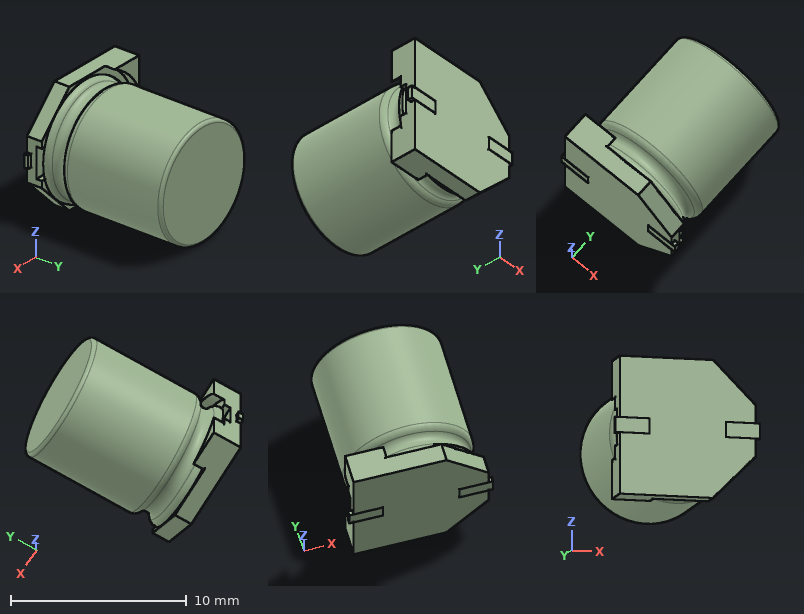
import cadquery as cq
import math


base_size = 8.0
base_height = 1.8
base_chamfer = 2.5
seat_height = 1.1
post_gap = 3.5

slot_width = 2.08
slot_depth = 0.4

can_radius = 3.875
can_top = 9.7
can_top_fillet = 0.22

groove_height = 2.0
groove_radius = 0.5
groove_blend = 0.5

lead_length = 2.0
lead_overhang = 0.25
lead_width = 0.88
lead_thickness = 0.3

half_base = base_size / 2

bore_radius = math.hypot(half_base, post_gap / 2)


def make_can():
    """Can standing on the seat, with the groove's section centred on the can wall."""
    can = (
        cq.Workplane("XZ", origin=(0, seat_height, 0))
        .circle(can_radius)
        .extrude(seat_height - can_top)
    )
    can = can.faces(">Y").edges().fillet(can_top_fillet)

    groove = (
        cq.Workplane("XY")
        .center(can_radius, groove_height)
        .circle(groove_radius)
        .revolve(360, (-can_radius, 0, 0), (-can_radius, 1, 0))
    )
    can = can.cut(groove)

    zone_height = (groove_radius + groove_height - seat_height) / 2
    rim_zone = cq.selectors.BoxSelector(
        (-can_radius, groove_height - zone_height, -can_radius),
        (can_radius, groove_height + zone_height, can_radius),
    )
    groove_rims = can.edges(rim_zone).edges("%CIRCLE")
    return groove_rims.fillet(groove_blend)


def make_base():
    """Chamfered block bored down to the seat, which leaves two posts at its square corners."""
    base = cq.Workplane("XY").box(base_size, base_height, base_size)
    base = base.translate((0, base_height / 2, 0))
    base = base.edges("|Y and >X").chamfer(base_chamfer)

    bore = (
        cq.Workplane("XZ", origin=(0, seat_height, 0))
        .circle(bore_radius)
        .extrude(seat_height - base_height)
    )
    slot = cq.Workplane("XY").box(base_size, slot_depth, slot_width)
    slot = slot.translate((0, seat_height - slot_depth / 2, 0))
    return base.cut(bore).cut(slot)


def make_lead(side):
    """Flat lead at the -X (side = -1) or +X (side = 1) edge of the base."""
    outer_end = half_base + lead_overhang
    centre_x = side * (outer_end - lead_length / 2)
    lead = cq.Workplane("XY").box(lead_length, lead_thickness, lead_width)
    return lead.translate((centre_x, lead_thickness / 2, 0))


leads = [make_lead(side) for side in (-1, 1)]

housing = make_can().union(make_base())
for lead in leads:
    housing = housing.cut(lead)

result = cq.Compound.makeCompound([housing.val(), *[lead.val() for lead in leads]])